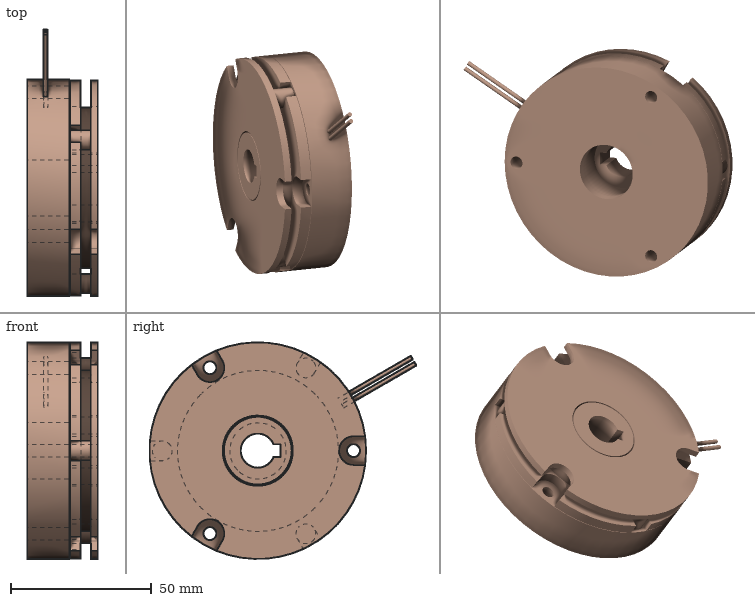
import cadquery as cq


housing_length = 15.0
air_gap = 0.2
armature_thickness = 3.8
rotor_thickness = 3.6
flange_thickness = 2.5
armature_x = housing_length + air_gap
rotor_x = armature_x + armature_thickness
flange_x = rotor_x + rotor_thickness
stack_end = flange_x + flange_thickness

outer_diameter = 77.0
rotor_diameter = 57.2
housing_bore = 20.0
hub_diameter = 24.0
hub_clearance = 0.5
hub_clearance_bore = hub_diameter + 2 * hub_clearance
shaft_bore = 12.0

key_width = 4.5
key_floor_radius = 8.0

bolt_circle_radius = 34.0
mounting_hole_diameter = 4.5
post_diameter = 7.0
access_notch_width = 10.2
fastener_count = 3
fastener_pitch = 360.0 / fastener_count
mounting_angles = [i * fastener_pitch for i in range(fastener_count)]
post_angles = [angle + fastener_pitch / 2 for angle in mounting_angles]

wire_diameter = 1.5
wire_spacing = 2.5
wire_x = 6.5
wire_angle = 30.0
wire_root_radius = 34.0
wire_tip_radius = 63.9


def disc(x, diameter, thickness):
    """Solid disc about the X axis whose front face is at x."""
    return cq.Workplane("YZ", origin=(x, 0, 0)).circle(diameter / 2).extrude(thickness)


def ring(x, diameter, bore, thickness):
    return disc(x, diameter, thickness).cut(disc(x, bore, thickness))


def bolt_circle_cylinder(x, diameter, length, angle):
    """Cylinder parallel to X on the bolt circle, angle measured from +Y toward +Z."""
    cylinder = (
        cq.Workplane("YZ", origin=(x, 0, 0))
        .center(bolt_circle_radius, 0)
        .circle(diameter / 2)
        .extrude(length)
    )
    return cylinder.rotate((0, 0, 0), (1, 0, 0), angle)


def rim_notch(x, width, thickness, angle):
    """Round-bottomed cutter centred on the bolt circle and open to the rim."""
    reach = outer_diameter / 2
    slot = (
        cq.Workplane("YZ", origin=(x, 0, 0))
        .center(bolt_circle_radius + reach / 2, 0)
        .slot2D(reach + width, width)
        .extrude(thickness)
    )
    return slot.rotate((0, 0, 0), (1, 0, 0), angle)


def make_wire(side):
    """Straight round lead, offset to one side of the radial wire direction."""
    wire = (
        cq.Workplane("XZ", origin=(wire_x, wire_root_radius, side * wire_spacing / 2))
        .circle(wire_diameter / 2)
        .extrude(wire_root_radius - wire_tip_radius)
    )
    return wire.rotate((0, 0, 0), (1, 0, 0), wire_angle)


def make_housing(wires):
    """Magnet housing with a central bore, mounting holes and sockets for the wires."""
    body = ring(0, outer_diameter, housing_bore, housing_length)
    for angle in mounting_angles:
        body = body.cut(bolt_circle_cylinder(0, mounting_hole_diameter, housing_length, angle))
    for wire in wires:
        body = body.cut(wire)
    return body


def make_armature():
    """Armature plate guided by the posts, notched for the mounting screws."""
    body = ring(armature_x, outer_diameter, hub_clearance_bore, armature_thickness)
    for angle in mounting_angles:
        body = body.cut(rim_notch(armature_x, access_notch_width, armature_thickness, angle))
    for angle in post_angles:
        body = body.cut(rim_notch(armature_x, post_diameter, armature_thickness, angle))
    return body


def make_rotor():
    return ring(rotor_x, rotor_diameter, hub_diameter, rotor_thickness)


def make_hub():
    """Hub with a keyed shaft bore, running from the armature to the flange."""
    length = stack_end - armature_x
    keyway = (
        cq.Workplane("YZ", origin=(armature_x, 0, 0))
        .center(key_floor_radius / 2, 0)
        .rect(key_floor_radius, key_width)
        .extrude(length)
    )
    return ring(armature_x, hub_diameter, shaft_bore, length).cut(keyway)


def make_flange():
    """End plate that carries the posts, notched for the mounting screws."""
    body = ring(flange_x, outer_diameter, hub_clearance_bore, flange_thickness)
    for angle in mounting_angles:
        body = body.cut(rim_notch(flange_x, access_notch_width, flange_thickness, angle))
    return body


def make_post(angle):
    """Spacer post standing on the flange and reaching to the front face of the armature."""
    return bolt_circle_cylinder(armature_x, post_diameter, flange_x - armature_x, angle)


wires = [make_wire(side) for side in (-1, 1)]
posts = [make_post(angle) for angle in post_angles]
housing = make_housing(wires)
armature = make_armature()
rotor = make_rotor()
hub = make_hub()
flange = make_flange()

result = cq.Compound.makeCompound([
    housing.val(),
    armature.val(),
    rotor.val(),
    hub.val(),
    flange.val(),
    *[post.val() for post in posts],
    *[wire.val() for wire in wires],
])